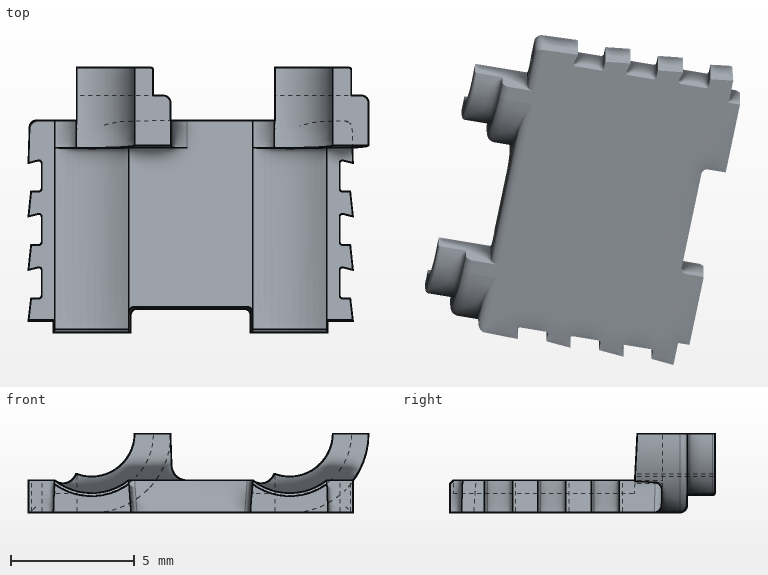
import cadquery as cq
import math


plate_half_width = 6.55
plate_thickness = 1.3
plate_back = 8.1
plate_corner_radius = 0.3
plate_back_edge_radius = 0.3
plate_back_draft = 2.0

tongue_front = -0.47
notch_back = 0.58
notch_corner_radius = 0.23
notch_draft = 4.0
shoulder_draft = 2.0

axis_height = 3.19
axis_offset = 4.0
groove_radius = 2.4
groove_mouth_length = 0.14
groove_mouth_depth = 0.12
bore_radius = 1.73
hook_radius = axis_height
spigot_radius = 2.49
hook_lip = 0.6
hook_front = 6.97
hook_step = 9.11
hook_back = 10.24
hook_edge_radius = 0.3
spigot_edge_radius = 0.11
hook_front_draft = 3.0

web_draft = 2.0
web_foot_radius = 0.6

tooth_count = 3
tooth_pitch = 2.16
first_tip = 6.38
gap_length = 1.14
gap_inner = 6.02
gap_undercut = 0.14
gap_corner_radius = 0.11
tooth_relief = 0.11
back_relief = 0.05

groove_half_width = math.sqrt(groove_radius**2 - (axis_height - plate_thickness) ** 2)


def prism(section, y_start, y_end):
    """Extrude a wire-drawing function's X-Z section along Y."""
    plane = cq.Workplane("XZ", origin=(0, y_start, 0))
    return section(plane).extrude(y_start - y_end)


def cylinder(x_axis, radius, y_start, y_end):
    return prism(lambda plane: plane.center(x_axis, axis_height).circle(radius), y_start, y_end)


def box(x_range, y_range, z_range):
    size = [high - low for low, high in (x_range, y_range, z_range)]
    corner = (x_range[0], y_range[0], z_range[0])
    return cq.Workplane("XY").box(*size, centered=False).translate(corner)


def tooth_gap(tip_y):
    """Undercut gap in the right side, with the following tooth's sloping flank cut back."""
    outside = plate_half_width + 0.14
    front_y = tip_y - gap_length
    next_y = max(tip_y - tooth_pitch, 0)
    gap = (
        cq.Workplane("XY")
        .moveTo(gap_inner, front_y)
        .lineTo(outside, front_y)
        .lineTo(outside, tip_y)
        .lineTo(plate_half_width, tip_y)
        .lineTo(gap_inner, tip_y + gap_undercut)
        .close()
        .extrude(plate_thickness)
        .edges("|Z and <X")
        .fillet(gap_corner_radius)
    )
    flank = (
        cq.Workplane("XY")
        .moveTo(plate_half_width - tooth_relief, front_y)
        .lineTo(outside, front_y)
        .lineTo(outside, next_y)
        .lineTo(plate_half_width, next_y)
        .close()
        .extrude(plate_thickness)
    )
    return gap.union(flank)


def cut_from_top(x_range, y_range, draft):
    """Downward-narrowing cutter given by its outline at the plate's top face."""
    width = x_range[1] - x_range[0]
    length = y_range[1] - y_range[0]
    middle = (sum(x_range) / 2, sum(y_range) / 2, plate_thickness)
    return cq.Workplane("XY", origin=middle).rect(width, length).extrude(-plate_thickness, taper=draft)


def make_plate():
    back_x = plate_half_width - back_relief
    plate = (
        cq.Workplane("XY")
        .moveTo(-plate_half_width, tongue_front)
        .lineTo(plate_half_width, tongue_front)
        .lineTo(plate_half_width, first_tip)
        .lineTo(back_x, plate_back)
        .lineTo(-back_x, plate_back)
        .lineTo(-plate_half_width, first_tip)
        .close()
        .extrude(plate_thickness)
    )
    bottom_back = plate_back - plate_thickness * math.tan(math.radians(plate_back_draft))
    drafted_back = (
        cq.Workplane("YZ", origin=(-plate_half_width, 0, 0))
        .moveTo(tongue_front, 0)
        .lineTo(bottom_back, 0)
        .lineTo(plate_back, plate_thickness)
        .lineTo(tongue_front, plate_thickness)
        .close()
        .extrude(2 * plate_half_width)
    )
    rounded_back = drafted_back.edges("<Z").edges(">Y").fillet(plate_back_edge_radius)
    plate = plate.intersect(drafted_back).edges("not #Z").edges(">Y").fillet(plate_corner_radius)
    plate = plate.intersect(rounded_back)
    for index in range(tooth_count):
        gap = tooth_gap(first_tip - index * tooth_pitch)
        plate = plate.cut(gap).cut(gap.mirror("YZ"))

    cutter_front = tongue_front - 0.69
    cutter_side = plate_half_width + 0.69
    notch_half_width = axis_offset - groove_half_width
    notch = cut_from_top((-notch_half_width, notch_half_width), (cutter_front, notch_back), notch_draft)
    notch = notch.edges("not #Z").edges(">Y").fillet(notch_corner_radius)
    shoulder_top = plate_thickness * math.tan(math.radians(shoulder_draft))
    shoulder = cut_from_top(
        (axis_offset + groove_half_width, cutter_side), (cutter_front, shoulder_top), shoulder_draft
    )
    return plate.cut(notch).cut(shoulder).cut(shoulder.mirror("YZ"))


def groove(x_axis):
    """Round trough along the plate, flared at the tongue's front end."""
    mouth = cq.Workplane("XY").add(
        cq.Solid.makeCone(
            groove_radius + groove_mouth_depth,
            groove_radius,
            groove_mouth_length,
            pnt=cq.Vector(x_axis, tongue_front, axis_height),
            dir=cq.Vector(0, 1, 0),
        )
    )
    return cylinder(x_axis, groove_radius, tongue_front, plate_back).union(mouth)


def lip_fillet(x_axis):
    """Concave fill from the groove's left edge up to the hook's lip."""
    edge_sine = groove_half_width / groove_radius
    radius = (groove_half_width - hook_lip) / (1 + edge_sine)
    x_center = x_axis - hook_lip - radius
    z_center = axis_height - (groove_radius - radius) * math.sqrt(1 - edge_sine**2)
    left = x_axis - groove_half_width
    fill = box((left, x_axis), (hook_front, plate_back), (axis_height - groove_radius, z_center))
    hollow = prism(lambda plane: plane.center(x_center, z_center).circle(radius), hook_front, plate_back)
    above_groove_edge = box((left, x_center), (hook_front, plate_back), (plate_thickness, z_center))
    return fill.cut(hollow).cut(above_groove_edge)


def web(x_axis):
    """Drafted wall on the right of a hook, blending into the plate's top."""
    wall_top = x_axis + hook_radius
    tangent_height = plate_thickness + web_foot_radius
    wall_foot = wall_top + (axis_height - tangent_height) * math.tan(math.radians(web_draft))
    blend = web_foot_radius * (1 - math.sqrt(0.5))

    def section(plane):
        return (
            plane.moveTo(x_axis, plate_thickness)
            .lineTo(x_axis, axis_height)
            .lineTo(wall_top, axis_height)
            .lineTo(wall_foot, tangent_height)
            .threePointArc(
                (wall_foot + blend, plate_thickness + blend), (wall_foot + web_foot_radius, plate_thickness)
            )
            .close()
        )

    return prism(section, hook_front, plate_back)


def collar(x_axis):
    """Wide part of a hook: round on the right, flat-bottomed on the left, rounded over at its back end."""

    def section(plane):
        return (
            plane.center(x_axis, axis_height)
            .moveTo(-hook_radius, -hook_radius)
            .lineTo(0, -hook_radius)
            .threePointArc((hook_radius, 0), (0, hook_radius))
            .lineTo(-hook_radius, hook_radius)
            .close()
        )

    return prism(section, hook_front, hook_step).faces(">Y").edges().fillet(hook_edge_radius)


def spigot(x_axis):
    """Narrow round part of a hook, reaching back behind its collar."""
    bar = cylinder(x_axis, spigot_radius, hook_front, hook_back)
    return bar.faces(">Y").edges().fillet(spigot_edge_radius)


def hook(x_axis, with_web):
    quadrant = box((x_axis - hook_lip, x_axis + hook_radius), (hook_front, hook_back), (0, axis_height))
    body = collar(x_axis).union(spigot(x_axis)).intersect(quadrant).union(lip_fillet(x_axis))
    if with_web:
        body = body.union(web(x_axis))

    lean = groove_radius * math.tan(math.radians(hook_front_draft))
    front_wedge = (
        cq.Workplane("YZ", origin=(x_axis - hook_radius, 0, 0))
        .moveTo(hook_front, axis_height - groove_radius)
        .lineTo(hook_front, axis_height)
        .lineTo(hook_front + lean, axis_height)
        .close()
        .extrude(3 * hook_radius)
    )
    return body.cut(front_wedge).cut(cylinder(x_axis, bore_radius, hook_front, hook_back))


result = make_plate()
for axis_x in (-axis_offset, axis_offset):
    result = result.cut(groove(axis_x))
for axis_x in (-axis_offset, axis_offset):
    result = result.union(hook(axis_x, with_web=axis_x < 0))